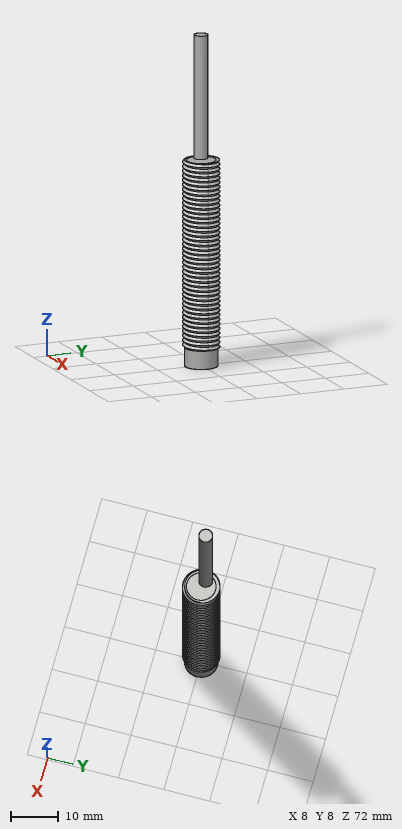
import cadquery as cq


total_length = 72.0

nose_diameter = 7.1
nose_height = 4.0

housing_top = 45.0
housing_length = housing_top - nose_height
bore_diameter = 6.3

thread_major_radius = 8.0 / 2
thread_root_radius = 7.0 / 2
thread_turns = 41
thread_pitch = housing_length / thread_turns
first_crest_height = 0.28
spare_turns = 2
blank_radius = thread_major_radius + 0.7

cable_diameter = 2.95
cable_x = -1.5
cable_y = 0.6


def cylinder(diameter, bottom, height):
    """Upright cylinder on the Z axis."""
    return cq.Workplane("XY").workplane(offset=bottom).circle(diameter / 2).extrude(height)


def one_turn(radius, start_height):
    """Single left-handed turn of a helix that starts on the +X side."""
    turn = cq.Wire.makeHelix(thread_pitch, thread_pitch, radius, lefthand=True)
    return turn.moved(cq.Location(cq.Vector(0, 0, start_height))).Edges()[0]


def make_thread_surface():
    """Open shell of the two thread flanks, running past both ends of the housing."""
    lower_root = one_turn(thread_root_radius, -thread_pitch / 2)
    crest = one_turn(thread_major_radius, 0)
    upper_root = one_turn(thread_root_radius, thread_pitch / 2)
    flanks = [
        cq.Face.makeRuledSurface(lower_root, crest),
        cq.Face.makeRuledSurface(crest, upper_root),
    ]

    faces = []
    for turn in range(-spare_turns, thread_turns + spare_turns):
        crest_height = nose_height + first_crest_height + turn * thread_pitch
        place = cq.Location(cq.Vector(0, 0, crest_height))
        faces += [flank.moved(place) for flank in flanks]
    return cq.Shell.makeShell(faces)


def make_housing():
    """Tube whose outside is the thread: the part of the blank inside the thread surface."""
    blank = cylinder(2 * blank_radius, nose_height, housing_length)
    tube = blank.cut(cylinder(bore_diameter, nose_height, housing_length))
    pieces = tube.val().split(make_thread_surface()).Solids()
    inner_piece = min(pieces, key=lambda piece: piece.BoundingBox().xlen)
    return cq.Workplane(inner_piece)


def make_nose():
    """Plain disc closing the lower end of the housing."""
    return cylinder(nose_diameter, 0, nose_height)


def make_filling():
    """Core that fills the bore and ends flush with the top of the housing."""
    return cylinder(bore_diameter, nose_height, housing_length)


def make_cable():
    """Round cable standing off-centre on the filling."""
    return cylinder(cable_diameter, housing_top, total_length - housing_top).translate((cable_x, cable_y, 0))


housing = make_housing()
nose = make_nose()
filling = make_filling()
cable = make_cable()

result = cq.Compound.makeCompound([housing.val(), nose.val(), filling.val(), cable.val()])